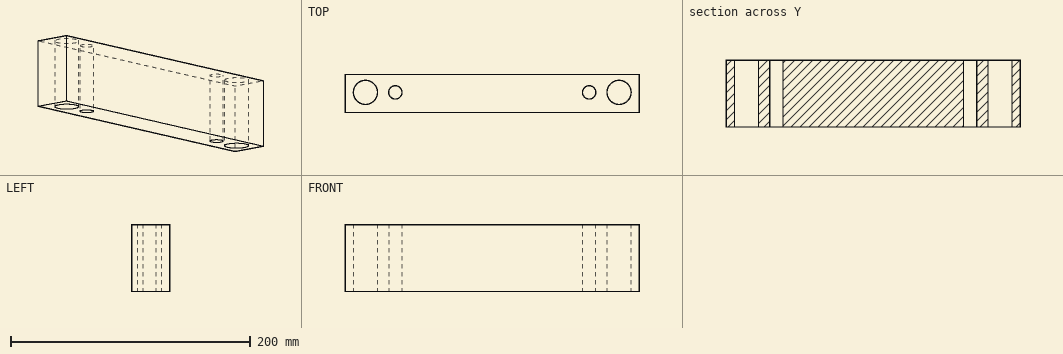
import cadquery as cq

length = 246.0
width = 32.0
height = 56.0

large_diameter = 20.0
large_spacing = 212.0
small_diameter = 11.0
small_spacing = 162.0
hole_line_to_back = 15.0
hole_line_y = width / 2 - hole_line_to_back


def drill_pair(body, diameter, spacing):
    """Drill two through holes placed symmetrically about the middle of the block."""
    centers = [(side * spacing / 2, hole_line_y) for side in (-1, 1)]
    drills = cq.Workplane("XY").pushPoints(centers).circle(diameter / 2).extrude(height)
    return body.cut(drills)


block = cq.Workplane("XY").box(length, width, height, centered=(True, True, False))
block = drill_pair(block, large_diameter, large_spacing)
result = drill_pair(block, small_diameter, small_spacing)